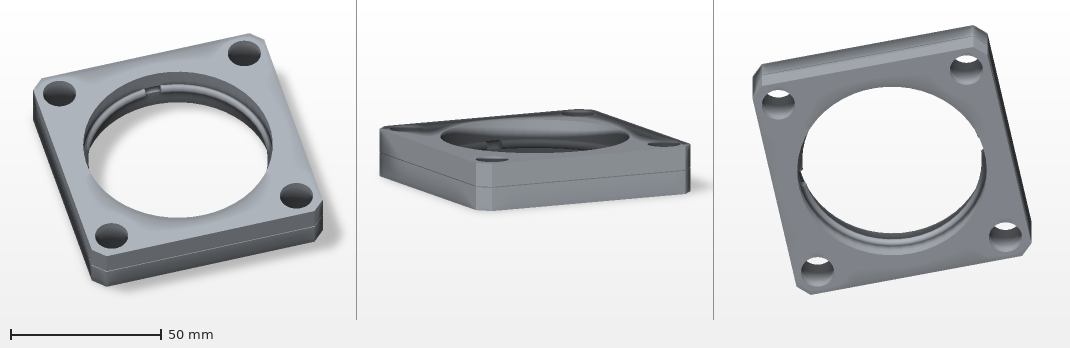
import cadquery as cq

side = 80.0
height = 16.0
corner_chamfer = 4.0
bore_radius = 31.6

hole_diameter = 11.0
hole_spacing = 64.0

parting_width = 0.3
parting_depth = 0.4

ring_inner_radius = 29.9
wire_radius = 1.5
ring_gap = 5.5
ring_center_radius = ring_inner_radius + wire_radius


def frame_block(width, thickness):
    """Square block centered on the origin with chamfered vertical corners."""
    return cq.Workplane("XY").box(width, width, thickness).edges("|Z").chamfer(corner_chamfer)


def wire_ring():
    """Full torus of wire at mid-height."""
    return cq.Workplane("XY").add(cq.Solid.makeTorus(ring_center_radius, wire_radius))


def frame():
    """Plate with its bore, bolt holes and parting groove."""
    bore = cq.Workplane("XY").circle(bore_radius).extrude(height, both=True)
    bolt_holes = (
        cq.Workplane("XY")
        .rect(hole_spacing, hole_spacing, forConstruction=True)
        .vertices()
        .circle(hole_diameter / 2)
        .extrude(height, both=True)
    )
    groove_core = frame_block(side - 2 * parting_depth, parting_width)
    parting_groove = frame_block(side, parting_width).cut(groove_core)
    return frame_block(side, height).cut(bore).cut(bolt_holes).cut(parting_groove)


gap_bar = cq.Workplane("XY").box(side, ring_gap, 2 * wire_radius)
split_ring = wire_ring().cut(gap_bar)

result = frame().cut(wire_ring()).union(split_ring)